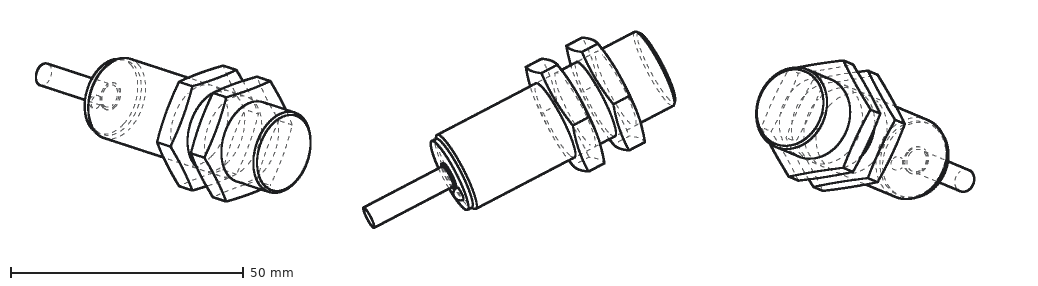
import cadquery as cq
import math

overall_length = 71.0

cable_diameter = 5.0
collar_diameter = 6.0
collar_length = 0.4
cap_face_x = 19.95
cap_diameter = 16.75
barrel_start_x = 21.0
barrel_diameter = 18.0
barrel_end_diameter = 16.9
rear_chamfer_length = 0.65
front_chamfer_length = 0.6

lamp_radius = 1.5
lamp_y = -4.75

nut_across_flats = 24.0
nut_thickness = 5.0
nut_gap = 5.05
first_nut_x = 46.0
nut_count = 2
nut_face_diameter = 23.8
nut_chamfer_depth = 0.5


def turned_about_x(profile):
    """Revolve a closed (x, radius) profile about the X axis."""
    return cq.Workplane("XY").polyline(profile).close().revolve(360, (0, 0, 0), (1, 0, 0))


def make_sensor():
    cable_radius = cable_diameter / 2
    collar_radius = collar_diameter / 2
    cap_radius = cap_diameter / 2
    barrel_radius = barrel_diameter / 2
    barrel_end_radius = barrel_end_diameter / 2
    collar_x = cap_face_x - collar_length
    sensor = turned_about_x([
        (0, 0),
        (0, cable_radius),
        (collar_x, cable_radius),
        (collar_x, collar_radius),
        (cap_face_x, collar_radius),
        (cap_face_x, cap_radius),
        (barrel_start_x, cap_radius),
        (barrel_start_x + rear_chamfer_length, barrel_radius),
        (overall_length - front_chamfer_length, barrel_radius),
        (overall_length, barrel_end_radius),
        (overall_length, 0),
    ])
    lamp = cq.Workplane("XY").sphere(lamp_radius).translate((cap_face_x, lamp_y, 0))
    return sensor.union(lamp)


def make_nut(start_x):
    """Hexagon nut with corners on the Y axis and both faces chamfered."""
    corner_diameter = nut_across_flats / math.cos(math.pi / 6)
    corner_radius = corner_diameter / 2
    face_radius = nut_face_diameter / 2
    bore_radius = barrel_diameter / 2
    end_x = start_x + nut_thickness
    hexagon = (
        cq.Workplane("YZ", origin=(start_x, 0, 0))
        .polygon(6, corner_diameter)
        .extrude(nut_thickness)
    )
    chamfered_ring = turned_about_x([
        (start_x, bore_radius),
        (start_x, face_radius),
        (start_x + nut_chamfer_depth, corner_radius),
        (end_x - nut_chamfer_depth, corner_radius),
        (end_x, face_radius),
        (end_x, bore_radius),
    ])
    return hexagon.intersect(chamfered_ring)


sensor = make_sensor()

nuts = []
for nut_index in range(nut_count):
    nut_x = first_nut_x + nut_index * (nut_thickness + nut_gap)
    nuts.append(make_nut(nut_x))

result = cq.Compound.makeCompound([sensor.val(), *[nut.val() for nut in nuts]])